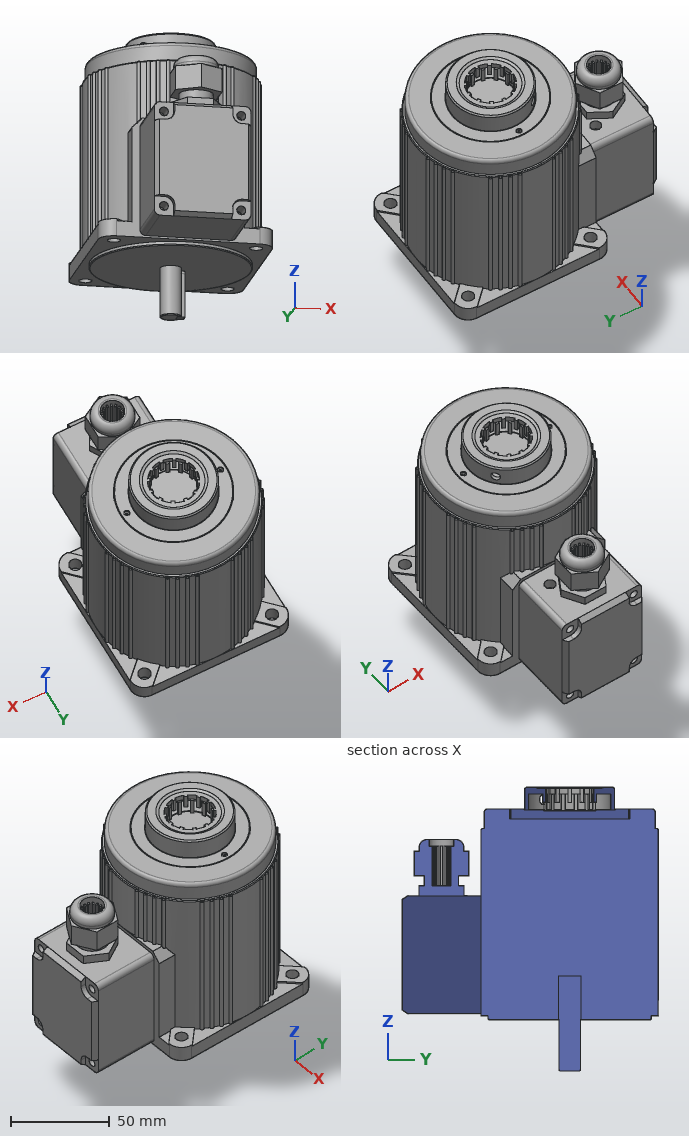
import cadquery as cq
import math


FLANGE_SIZE = 90.0
FLANGE_CORNER_RADIUS = 8.0
FLANGE_THICKNESS = 8.0
PAD_HEIGHT = 1.0
PAD_WIDTH = 12.0
BOLT_CIRCLE_DIAMETER = 104.0
BOLT_HOLE_DIAMETER = 6.6
PILOT_RADIUS = 41.5
PILOT_HEIGHT = 2.0
PILOT_CHAMFER = 0.5
BARREL_RADIUS = FLANGE_SIZE / 2
BARREL_TOP = 95.0
BARREL_CHAMFER = 0.5
RIB_RADIUS = 1.0
RIBS_PER_GROUP = 4
RIB_FIRST_ANGLE = 13.0
RIB_ANGLE_STEP = RIB_FIRST_ANGLE / 2
BRACKET_WIDTH = 58.0
BRACKET_TOP = 63.0
BRACKET_CHAMFER = 5.0
FRONT_FACE = -FLANGE_SIZE / 2

CAP_RADIUS = 43.5
CAP_HEIGHT = 10.0
CAP_FILLET = 2.0
CAP_TOP = BARREL_TOP + CAP_HEIGHT

DISC_RADIUS = 30.0
DISC_THICKNESS = 5.0
DISC_GAP = 0.5
SPANNER_HOLE_OFFSET = 27.0
SPANNER_HOLE_DIAMETER = 3.0
SPANNER_HOLE_DEPTH = 1.0
SPANNER_CORE_DIAMETER = 1.2
SPANNER_CORE_DEPTH = 2.0
HUB_RADIUS = 22.8
HUB_TOP = 116.0
HUB_CHAMFER = 0.8
HUB_SEAT_DEPTH = 0.5
HUB_SEAT_GAP = 0.3
HUB_SEAT = CAP_TOP - HUB_SEAT_DEPTH
HUB_CAVITY_RADIUS = 20.8
HUB_ROOF_THICKNESS = 2.9
DISH_TOP_RADIUS = 17.4
DISH_BOTTOM_RADIUS = 15.9
DISH_DEPTH = 0.7
HUB_HOLE_DIAMETER = 5.0
HUB_HOLE_ANGLE = 220.0
HUB_HOLE_HEIGHT = 109.7

TOOTH_COUNT = 12
TOOTH_PITCH = 360.0 / TOOTH_COUNT
TOOTH_WIDTH = 1.9
TOOTH_INNER_RADIUS = 12.1
TOOTH_ROOT_RADIUS = 13.2
HUB_TOOTH_BOTTOM = 108.2
DISC_TOOTH_TOP = 112.4
DISC_POCKET_DEPTH = 0.5

SHAFT_RADIUS = 5.5
SHAFT_END = -28.0
SHAFT_TOP = 20.0
SHAFT_CHAMFER = 0.5
KEY_WIDTH = 4.0
KEY_HEIGHT = 4.0
KEY_CREST = 7.0
KEY_TOP = -3.0

BOX_WIDTH = 50.0
BOX_HEIGHT = 60.0
BOX_DEPTH = 40.0
BOX_BOTTOM = 1.0
BOX_TOP = BOX_BOTTOM + BOX_HEIGHT
BOX_FRONT = FRONT_FACE - BOX_DEPTH
BOX_EDGE_RADIUS = 3.0
BOX_BEVEL_DEPTH = 3.0
BOX_BEVEL_INSET = 2.0
SCREW_INSET = 5.0
SCREW_POCKET_RADIUS = SCREW_INSET
SCREW_HOLE_DIAMETER = 4.5
SCREW_HOLE_DEPTH = 10.0
PLUG_HOLE_DIAMETER = 6.0
PLUG_HOLE_DEPTH = 6.0
PLUG_HOLE_X = -12.8
PLUG_HOLE_Y = -55.0

GLAND_Y = -65.0
GLAND_BASE_FLATS = 23.0
GLAND_BASE_HEIGHT = 5.0
GLAND_BASE_TURN = 30.0
GLAND_NECK_RADIUS = 8.75
GLAND_NECK_HEIGHT = 5.0
GLAND_NUT_FLATS = 24.0
GLAND_NUT_HEIGHT = 12.5
GLAND_NUT_TURN = 0.0
GLAND_DOME_RADIUS = 11.4
GLAND_DOME_HEIGHT = 6.0
GLAND_DOME_FILLET = 4.2
GLAND_BORE_RADIUS = 6.2
GLAND_BORE_FLOOR = 66.0
FINGER_COUNT = 16
FINGER_WIDTH = 0.9
FINGER_INNER_RADIUS = 4.6
FINGER_TOP = 86.0

OVERLAP = 0.5


def cylinder(radius, bottom, top):
    return cq.Workplane("XY").workplane(offset=bottom).circle(radius).extrude(top - bottom)


def radial_bars(inner, outer, width, bottom, top, count, first_angle):
    """Ring of upright bars reaching from the inner to the outer radius."""
    bars = cq.Workplane("XY")
    for i in range(count):
        bar = (
            cq.Workplane("XY")
            .box(outer - inner, width, top - bottom, centered=(False, True, False))
            .translate((inner, 0, bottom))
            .rotate((0, 0, 0), (0, 0, 1), first_angle + i * 360.0 / count)
        )
        bars = bars.add(bar)
    return bars.combine()


def flange_plate(thickness):
    plate = cq.Workplane("XY").rect(FLANGE_SIZE, FLANGE_SIZE).extrude(thickness)
    return plate.edges("|Z").fillet(FLANGE_CORNER_RADIUS)


def make_flange():
    """Square flange with raised pads running along both diagonals to the corners."""
    pad_top = FLANGE_THICKNESS + PAD_HEIGHT
    flange = flange_plate(FLANGE_THICKNESS)
    for angle in (45, 135):
        strip = cq.Workplane("XY").rect(2 * FLANGE_SIZE, PAD_WIDTH).extrude(pad_top)
        strip = strip.rotate((0, 0, 0), (0, 0, 1), angle)
        flange = flange.union(flange_plate(pad_top).intersect(strip))
    return flange


def chamfered_post(radius):
    """Round post as tall as the barrel, with the barrel's top chamfer."""
    return cylinder(radius, 0, BARREL_TOP).faces(">Z").edges().chamfer(BARREL_CHAMFER)


def make_ribs():
    """Half-round ribs, in groups on both sides of each of the four axes."""
    ribs = cq.Workplane("XY")
    for axis_angle in (0, 90, 180, 270):
        for side in (-1, 1):
            for i in range(RIBS_PER_GROUP):
                angle = math.radians(axis_angle + side * (RIB_FIRST_ANGLE + i * RIB_ANGLE_STEP))
                rib = chamfered_post(RIB_RADIUS)
                x = BARREL_RADIUS * math.cos(angle)
                y = BARREL_RADIUS * math.sin(angle)
                ribs = ribs.add(rib.translate((x, y, 0)))
    return ribs.combine()


def make_bracket():
    block = cq.Workplane("XY").box(BRACKET_WIDTH, -FRONT_FACE, BRACKET_TOP, centered=(True, False, False))
    block = block.translate((0, FRONT_FACE, 0))
    return block.edges("|Y and >Z").chamfer(BRACKET_CHAMFER)


def make_cap():
    """Rounded end cap with a round recess for the lock disc."""
    cap = cylinder(CAP_RADIUS, BARREL_TOP - OVERLAP, CAP_TOP).faces(">Z").edges().fillet(CAP_FILLET)
    return cap.cut(cylinder(DISC_RADIUS + DISC_GAP, CAP_TOP - DISC_THICKNESS, CAP_TOP))


def make_housing():
    pilot = cylinder(PILOT_RADIUS, -PILOT_HEIGHT, OVERLAP).faces("<Z").chamfer(PILOT_CHAMFER)
    barrel = chamfered_post(BARREL_RADIUS)
    housing = make_flange().union(pilot).union(barrel).union(make_ribs())
    housing = housing.union(make_bracket()).union(make_cap())
    bolt_spacing = BOLT_CIRCLE_DIAMETER / math.sqrt(2)
    bolt_holes = (
        cq.Workplane("XY")
        .rect(bolt_spacing, bolt_spacing, forConstruction=True)
        .vertices()
        .circle(BOLT_HOLE_DIAMETER / 2)
        .extrude(FLANGE_THICKNESS + PAD_HEIGHT)
    )
    return housing.cut(bolt_holes).cut(cylinder(SHAFT_RADIUS, -PILOT_HEIGHT, SHAFT_TOP))


def make_disc():
    """Lock disc with a seat for the hub and a ring of upright teeth around its centre pocket."""
    pocket_floor = HUB_SEAT - DISC_POCKET_DEPTH
    disc = cylinder(DISC_RADIUS, CAP_TOP - DISC_THICKNESS, CAP_TOP)
    disc = disc.cut(cylinder(HUB_RADIUS + HUB_SEAT_GAP, HUB_SEAT, CAP_TOP))
    disc = disc.cut(cylinder(TOOTH_ROOT_RADIUS, pocket_floor, CAP_TOP))
    disc = disc.union(
        radial_bars(
            TOOTH_INNER_RADIUS, TOOTH_ROOT_RADIUS, TOOTH_WIDTH,
            pocket_floor - OVERLAP, DISC_TOOTH_TOP, TOOTH_COUNT, TOOTH_PITCH / 2,
        )
    )
    for x in (-SPANNER_HOLE_OFFSET, SPANNER_HOLE_OFFSET):
        hole = cylinder(SPANNER_HOLE_DIAMETER / 2, CAP_TOP - SPANNER_HOLE_DEPTH, CAP_TOP)
        core = cylinder(SPANNER_CORE_DIAMETER / 2, CAP_TOP - SPANNER_CORE_DEPTH, CAP_TOP)
        disc = disc.cut(hole.union(core).translate((x, 0, 0)))
    return disc


def make_hub():
    """Cup-shaped hub: dished roof with a toothed opening, hollow below, one radial hole."""
    dish_floor = HUB_TOP - DISH_DEPTH
    roof_bottom = dish_floor - HUB_ROOF_THICKNESS
    profile = [
        (HUB_CAVITY_RADIUS, HUB_SEAT),
        (HUB_RADIUS, HUB_SEAT),
        (HUB_RADIUS, HUB_TOP - HUB_CHAMFER),
        (HUB_RADIUS - HUB_CHAMFER, HUB_TOP),
        (DISH_TOP_RADIUS, HUB_TOP),
        (DISH_BOTTOM_RADIUS, dish_floor),
        (TOOTH_ROOT_RADIUS, dish_floor),
        (TOOTH_ROOT_RADIUS, roof_bottom),
        (HUB_CAVITY_RADIUS, roof_bottom),
    ]
    hub = cq.Workplane("XZ").polyline(profile).close().revolve(360, (0, 0, 0), (0, 1, 0))
    hub = hub.union(
        radial_bars(
            TOOTH_INNER_RADIUS, TOOTH_ROOT_RADIUS + OVERLAP, TOOTH_WIDTH,
            HUB_TOOTH_BOTTOM, dish_floor, TOOTH_COUNT, 0,
        )
    )
    side_hole = (
        cq.Workplane("YZ")
        .workplane(offset=HUB_CAVITY_RADIUS - OVERLAP)
        .center(0, HUB_HOLE_HEIGHT)
        .circle(HUB_HOLE_DIAMETER / 2)
        .extrude(HUB_RADIUS)
        .rotate((0, 0, 0), (0, 0, 1), HUB_HOLE_ANGLE)
    )
    return hub.cut(side_hole)


def make_key():
    """Key with a round upper end, partly sunk into the +X side of the shaft."""
    half_width = KEY_WIDTH / 2
    return (
        cq.Workplane("YZ")
        .workplane(offset=KEY_CREST - KEY_HEIGHT)
        .moveTo(-half_width, SHAFT_END)
        .lineTo(half_width, SHAFT_END)
        .lineTo(half_width, KEY_TOP - half_width)
        .threePointArc((0, KEY_TOP), (-half_width, KEY_TOP - half_width))
        .close()
        .extrude(KEY_HEIGHT)
    )


def make_shaft(key):
    """Shaft with a keyway that fits the key."""
    shaft = cylinder(SHAFT_RADIUS, SHAFT_END, SHAFT_TOP).faces("<Z").chamfer(SHAFT_CHAMFER)
    return shaft.cut(key)


def make_terminal_box():
    box = cq.Workplane("XY").box(BOX_WIDTH, BOX_DEPTH, BOX_HEIGHT, centered=(True, False, False))
    box = box.translate((0, BOX_FRONT, BOX_BOTTOM))
    box = box.edges("|Y").fillet(BOX_EDGE_RADIUS)
    pad_plane = BOX_FRONT + BOX_BEVEL_DEPTH
    middle = BOX_BOTTOM + BOX_HEIGHT / 2

    front_width = BOX_WIDTH - 2 * BOX_BEVEL_INSET
    front_height = BOX_HEIGHT - 2 * BOX_BEVEL_INSET
    bevelled_front = (
        cq.Workplane("XZ", origin=(0, pad_plane, middle))
        .rect(BOX_WIDTH, BOX_HEIGHT)
        .workplane(offset=BOX_BEVEL_DEPTH)
        .rect(front_width, front_height)
        .loft(ruled=True)
    )
    body = cq.Workplane("XZ", origin=(0, FRONT_FACE, middle)).rect(BOX_WIDTH, BOX_HEIGHT)
    body = body.extrude(BOX_DEPTH - BOX_BEVEL_DEPTH)
    box = box.intersect(body.union(bevelled_front))

    for side in (-1, 1):
        for level in (-1, 1):
            corner_x = side * BOX_WIDTH / 2
            corner_z = middle + level * BOX_HEIGHT / 2
            screw_x = corner_x - side * SCREW_INSET
            screw_z = corner_z - level * SCREW_INSET
            front = cq.Workplane("XZ", origin=(screw_x, pad_plane, screw_z))
            pocket = (
                front.rect(2 * SCREW_INSET, 2 * SCREW_INSET)
                .extrude(BOX_BEVEL_DEPTH)
                .edges("|Y")
                .edges(("<" if side > 0 else ">") + "X")
                .edges(("<" if level > 0 else ">") + "Z")
                .fillet(SCREW_POCKET_RADIUS)
            )
            screw_hole = front.circle(SCREW_HOLE_DIAMETER / 2).extrude(-SCREW_HOLE_DEPTH)
            box = box.cut(pocket).cut(screw_hole)

    plug_hole = cylinder(PLUG_HOLE_DIAMETER / 2, BOX_TOP - PLUG_HOLE_DEPTH, BOX_TOP)
    return box.cut(plug_hole.translate((PLUG_HOLE_X, PLUG_HOLE_Y, 0)))


def hexagon(flats, bottom, height, angle):
    prism = cq.Workplane("XY").workplane(offset=bottom).polygon(6, flats, circumscribed=True).extrude(height)
    return prism.rotate((0, 0, 0), (0, 0, 1), angle)


def make_gland():
    neck_bottom = BOX_TOP + GLAND_BASE_HEIGHT
    nut_bottom = neck_bottom + GLAND_NECK_HEIGHT
    nut_top = nut_bottom + GLAND_NUT_HEIGHT
    dome_top = nut_top + GLAND_DOME_HEIGHT
    gland = hexagon(GLAND_BASE_FLATS, BOX_TOP, GLAND_BASE_HEIGHT, GLAND_BASE_TURN)
    gland = gland.union(cylinder(GLAND_NECK_RADIUS, neck_bottom, nut_bottom))
    gland = gland.union(hexagon(GLAND_NUT_FLATS, nut_bottom, GLAND_NUT_HEIGHT, GLAND_NUT_TURN))
    dome = cylinder(GLAND_DOME_RADIUS, nut_top, dome_top).faces(">Z").edges().fillet(GLAND_DOME_FILLET)
    gland = gland.union(dome).cut(cylinder(GLAND_BORE_RADIUS, GLAND_BORE_FLOOR, dome_top))
    fingers = radial_bars(
        FINGER_INNER_RADIUS, GLAND_BORE_RADIUS + OVERLAP, FINGER_WIDTH,
        GLAND_BORE_FLOOR, FINGER_TOP, FINGER_COUNT, 0,
    )
    return gland.union(fingers).translate((0, GLAND_Y, 0))


housing = make_housing()
disc = make_disc()
hub = make_hub()
key = make_key()
shaft = make_shaft(key)
terminal_box = make_terminal_box()
gland = make_gland()

result = cq.Compound.makeCompound(
    [
        housing.val(),
        disc.val(),
        hub.val(),
        shaft.val(),
        key.val(),
        terminal_box.val(),
        gland.val(),
    ]
)